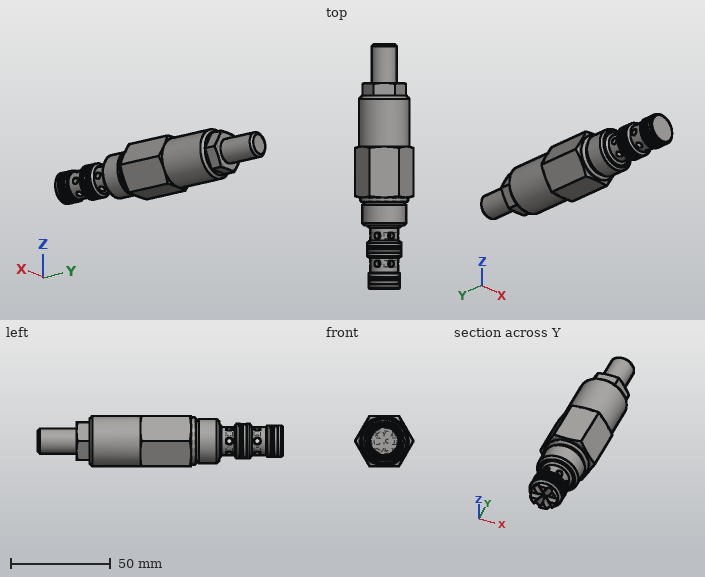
import cadquery as cq
import math


hex_across_flats = 25.4
hex_length = 25.4
hex_corner_drop = 0.6

barrel_diameter = 25.4
barrel_length = 25.55
barrel_chamfer = 1.59
nut_across_flats = 19.05
nut_length = 6.35
nut_corner_drop = 0.45
stud_diameter = 12.7
stud_chamfer = 1.27
stud_end_y = 76.83

thread_diameter = 22.23
relief_diameter = 19.63
thread_top_y = -3.9
thread_bottom_y = -12.9
thread_chamfer = (thread_diameter - relief_diameter) / 2

neck_diameter = 14.28
middle_land_diameter = 17.46
nose_land_diameter = 15.88
nose_y = -46.0
nose_chamfer = 0.8
cone_slope = 0.72
middle_land_top_y = -22.85
middle_land_bottom_y = -29.35
nose_land_top_y = -38.25

seal_groove_width = 3.73
backup_gap = 0.5
backup_width = 1.1
seal_section = 1.78
middle_groove_bottom_y = -28.0
middle_groove_floor_diameter = 14.88
middle_seal_diameter = 17.37
nose_groove_bottom_y = -43.56
nose_groove_floor_diameter = 13.31
nose_seal_diameter = 15.8

seat_seal_section = 2.46
seat_seal_diameter = 24.1
seat_seal_squeeze = 0.03

port_diameter = 3.17
port_count = 6
port_rows_y = (-19.2, -33.25)

AXIS_PLANE = cq.Plane(origin=(0, 0, 0), xDir=(1, 0, 0), normal=(0, 1, 0))


def turned(radius_and_y):
    """Solid of revolution from (radius, y) points, closed along the axis."""
    first_y = radius_and_y[0][1]
    last_y = radius_and_y[-1][1]
    points = [(0, first_y)] + radius_and_y + [(0, last_y)]
    return cq.Workplane("XY").polyline(points).close().revolve(360, (0, 0, 0), (0, 1, 0))


def o_ring(outer_diameter, section, centre_y):
    """Torus of round section about the Y axis, its seam facing the axis."""
    centre_radius = (outer_diameter - section) / 2
    section_plane = cq.Plane(origin=(-centre_radius, centre_y, 0), xDir=(1, 0, 0), normal=(0, 0, 1))
    axis_start = (centre_radius, 0, 0)
    axis_end = (centre_radius, 1, 0)
    return cq.Workplane(section_plane).circle(section / 2).revolve(360, axis_start, axis_end)


def hexagon(across_flats, bottom_y, length, corner_drop, chamfer_bottom):
    """Hexagonal prism with corners on +X and -X, turned down to the flats at its chamfered ends."""
    flat_radius = across_flats / 2
    corner_radius = flat_radius / math.cos(math.pi / 6)
    top_y = bottom_y + length
    top_points = [
        (corner_radius, top_y - corner_drop),
        (flat_radius, top_y),
    ]
    if chamfer_bottom:
        bottom_points = [(flat_radius, bottom_y), (corner_radius, bottom_y + corner_drop)]
    else:
        bottom_points = [(corner_radius, bottom_y)]
    prism = cq.Workplane(AXIS_PLANE).workplane(offset=bottom_y).polygon(6, 2 * corner_radius).extrude(length)
    return prism.intersect(turned(bottom_points + top_points))


def adjuster():
    """Hexagonal body with the barrel, lock nut and stud stacked above it."""
    barrel_top_y = hex_length + barrel_length
    barrel_radius = barrel_diameter / 2
    stud_radius = stud_diameter / 2
    body = hexagon(hex_across_flats, 0, hex_length, hex_corner_drop, True)
    barrel_and_stud = turned([
        (barrel_radius, hex_length),
        (barrel_radius, barrel_top_y - barrel_chamfer),
        (barrel_radius - barrel_chamfer, barrel_top_y),
        (stud_radius, barrel_top_y),
        (stud_radius, stud_end_y - stud_chamfer),
        (stud_radius - stud_chamfer, stud_end_y),
    ])
    nut = hexagon(nut_across_flats, barrel_top_y, nut_length, nut_corner_drop, False)
    return body.union(barrel_and_stud).union(nut)


def cage():
    """Threaded collar, neck and seal lands, without the seal grooves."""
    thread_radius = thread_diameter / 2
    relief_radius = relief_diameter / 2
    neck_radius = neck_diameter / 2
    middle_radius = middle_land_diameter / 2
    nose_radius = nose_land_diameter / 2
    middle_cone = (middle_radius - neck_radius) * cone_slope
    nose_cone = (nose_radius - neck_radius) * cone_slope
    collar_end_y = thread_bottom_y - thread_chamfer
    return turned([
        (relief_radius, 0),
        (relief_radius, thread_top_y + thread_chamfer),
        (thread_radius, thread_top_y),
        (thread_radius, thread_bottom_y),
        (relief_radius, collar_end_y),
        (middle_radius, collar_end_y),
        (neck_radius, collar_end_y - middle_cone),
        (neck_radius, middle_land_top_y + middle_cone),
        (middle_radius, middle_land_top_y),
        (middle_radius, middle_land_bottom_y),
        (neck_radius, middle_land_bottom_y - middle_cone),
        (neck_radius, nose_land_top_y + nose_cone),
        (nose_radius, nose_land_top_y),
        (nose_radius, nose_y + nose_chamfer),
        (nose_radius - nose_chamfer, nose_y),
    ])


def ring(outer_diameter, inner_diameter, bottom_y, width):
    """Flat ring of rectangular section about the Y axis."""
    return (
        cq.Workplane(AXIS_PLANE)
        .workplane(offset=bottom_y)
        .circle(outer_diameter / 2)
        .circle(inner_diameter / 2)
        .extrude(width)
    )


def fit_seals(body, land_diameter, floor_diameter, seal_diameter, bottom_y):
    """Cut a groove in a land and fill it with a backup ring and an O-ring."""
    backup_bottom_y = bottom_y + seal_groove_width - backup_gap - backup_width
    seal_centre_y = (bottom_y + backup_bottom_y) / 2
    groove = ring(land_diameter, floor_diameter, bottom_y, seal_groove_width)
    backup = ring(seal_diameter, floor_diameter, backup_bottom_y, backup_width)
    seal = o_ring(seal_diameter, seal_section, seal_centre_y)
    return body.cut(groove).union(backup).union(seal)


def drill_ports(body, row_y):
    """Drill straight through the neck, each drilling opening two opposite ports."""
    for index in range(port_count // 2):
        angle = 2 * math.pi * index / port_count
        direction = cq.Vector(math.cos(angle), 0, math.sin(angle))
        start = cq.Vector(0, row_y, 0) - direction * neck_diameter
        drilling = cq.Solid.makeCylinder(port_diameter / 2, 2 * neck_diameter, start, direction)
        body = body.cut(cq.Workplane(drilling))
    return body


result = adjuster().union(cage())
result = result.union(
    o_ring(seat_seal_diameter, seat_seal_section, seat_seal_squeeze - seat_seal_section / 2)
)
result = fit_seals(
    result, middle_land_diameter, middle_groove_floor_diameter, middle_seal_diameter, middle_groove_bottom_y
)
result = fit_seals(
    result, nose_land_diameter, nose_groove_floor_diameter, nose_seal_diameter, nose_groove_bottom_y
)
for port_row_y in port_rows_y:
    result = drill_ports(result, port_row_y)